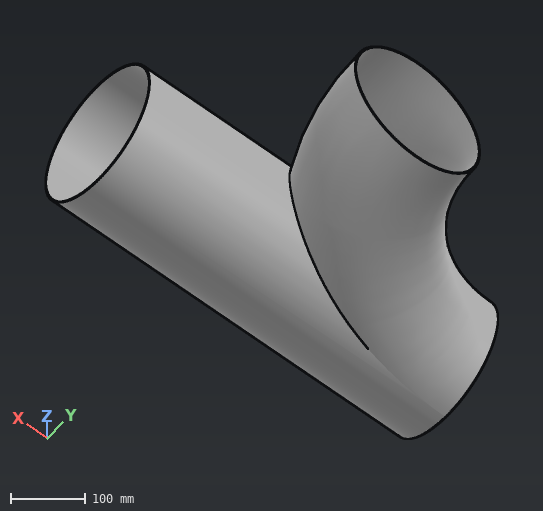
import cadquery as cq

pipe_length = 610.0
outer_diameter = 219.0
bore_diameter = 215.5
bend_radius = 305.0
margin = 61.0

seam_end_x = pipe_length + margin
seam_end_y = seam_end_x**2 / (4 * bend_radius)
block_height = outer_diameter + 2 * margin


def tube_section():
    """Ring-shaped wall section, centred on the pipe axis at X = 0."""
    return cq.Workplane("YZ").circle(outer_diameter / 2).circle(bore_diameter / 2)


def straight_pipe():
    """Full-length pipe along +X."""
    return tube_section().extrude(pipe_length)


def elbow():
    """Quarter bend that leaves along the pipe axis and turns to face +Y."""
    return tube_section().revolve(90, (bend_radius, 0), (bend_radius, 1))


def branch_side_block():
    """Block on the elbow's side of the seam sheet, bounded by the parabola."""
    parabola = [(0, 0), (seam_end_x / 2, 0), (seam_end_x, seam_end_y)]
    return (
        cq.Workplane("XY", origin=(0, 0, -block_height / 2))
        .moveTo(-margin, 0)
        .lineTo(0, 0)
        .bezier(parabola)
        .lineTo(-margin, seam_end_y)
        .close()
        .extrude(block_height)
    )


branch_side = branch_side_block()
trimmed_pipe = straight_pipe().cut(branch_side)
trimmed_elbow = elbow().intersect(branch_side)

result = trimmed_pipe.union(trimmed_elbow)